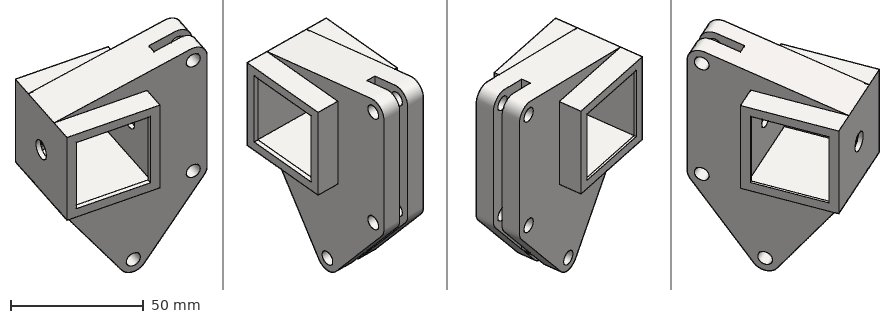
import cadquery as cq
import math

tube_size = 40.0
wall = 2.1
lip_height = 2.0
left_lip_length = 1.0
right_lip_length = 2.0
bolt_diameter = 8.0
bolt_depth = tube_size

plate_thickness = 20.0
part_depth = 66.0
part_height = 98.15
ear_radius = 6.0
pin_diameter = 6.0
rear_ear_spacing = 53.5
lower_ear_y = 34.2

slot_width = 4.0
rear_slot_floor = 47.5
lower_slot_roof = -34.5

tube_middle = tube_size / 2
rear_ear_y = part_depth - ear_radius
upper_ear = (rear_ear_y, tube_middle + rear_ear_spacing / 2)
middle_ear = (rear_ear_y, tube_middle - rear_ear_spacing / 2)
lower_ear = (lower_ear_y, upper_ear[1] + 2 * ear_radius - part_height)
ears = [lower_ear, middle_ear, upper_ear]


def on_ear(center, angle):
    """Point on the rim of an ear, in the YZ plane."""
    return (center[0] + ear_radius * math.cos(angle), center[1] + ear_radius * math.sin(angle))


def direction(start, end):
    """Angle of the line from start to end."""
    return math.atan2(end[1] - start[1], end[0] - start[0])


def tangent_angle(corner, center, side):
    """Angle on an ear where a line from a corner touches it; side is +1 or -1."""
    distance = math.dist(corner, center)
    return direction(center, corner) + side * math.acos(ear_radius / distance)


def make_plate():
    """Outline wrapped tightly around the ears and the front edge of the tube."""
    bottom_corner = (0, 0)
    top_corner = (0, tube_size)
    between_lower_and_middle = direction(lower_ear, middle_ear) - math.pi / 2
    arc_angles = [
        (tangent_angle(bottom_corner, lower_ear, 1) - 2 * math.pi, between_lower_and_middle),
        (between_lower_and_middle, 0),
        (0, tangent_angle(top_corner, upper_ear, -1) + 2 * math.pi),
    ]
    outline = cq.Workplane("YZ").moveTo(*bottom_corner)
    for ear, (start, end) in zip(ears, arc_angles):
        outline = outline.lineTo(*on_ear(ear, start))
        outline = outline.threePointArc(on_ear(ear, (start + end) / 2), on_ear(ear, end))
    outline = outline.lineTo(*top_corner).close()
    return outline.extrude(plate_thickness / 2, both=True)


def square_bar(size, length):
    """Square bar along X, on the tube axis and centred on X = 0."""
    bar = cq.Workplane("YZ").center(tube_middle, tube_middle).rect(size, size)
    return bar.extrude(length / 2, both=True)


def make_slots():
    """One slot along the whole rear edge and one across the lower ear."""
    block = cq.Workplane("XY").box(slot_width, part_depth, part_height, centered=(True, False, False))
    bottom = lower_ear[1] - ear_radius
    rear_slot = block.translate((0, rear_slot_floor, bottom))
    lower_slot = block.translate((0, 0, lower_slot_roof - part_height))
    return rear_slot.union(lower_slot)


cavity_size = tube_size - 2 * wall
opening_size = cavity_size - 2 * lip_height

result = make_plate().union(square_bar(tube_size, tube_size))
result = result.cut(square_bar(opening_size, tube_size))
cavity = square_bar(cavity_size, tube_size - left_lip_length - right_lip_length)
result = result.cut(cavity.translate(((left_lip_length - right_lip_length) / 2, 0, 0)))
result = result.cut(make_slots())

pins = cq.Workplane("YZ").pushPoints(ears).circle(pin_diameter / 2).extrude(plate_thickness / 2, both=True)
result = result.cut(pins)

bolt_hole = cq.Workplane("XZ").center(0, tube_middle).circle(bolt_diameter / 2).extrude(-bolt_depth)
result = result.cut(bolt_hole)